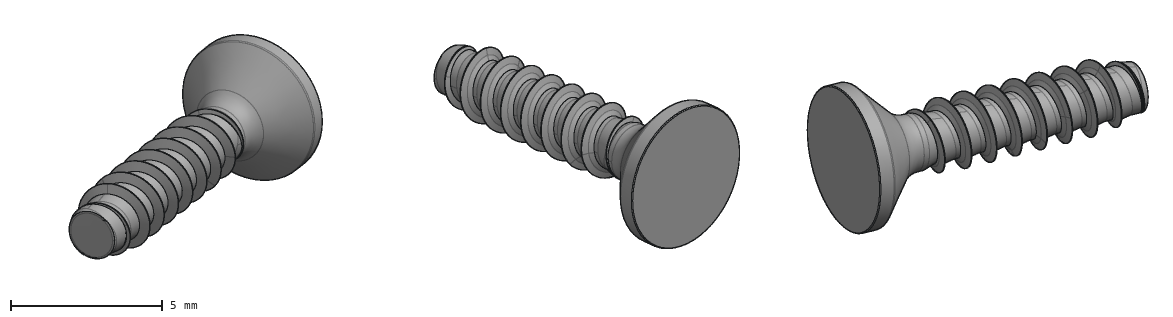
import cadquery as cq
import math

LENGTH = 11.0

HEAD_DIAMETER = 5.0
HEAD_RADIUS = HEAD_DIAMETER / 2
HEAD_EDGE_CHAMFER = 0.03
RIM_END = 0.56
HEAD_CONE_SLOPE = math.radians(45)
RIM_FILLET = 0.08

SHANK_RADIUS = 0.98
NECK_FILLET = 1.0
SHANK_END = 2.7
SHANK_CONE_END = 3.12

CORE_RADIUS = 0.86
TIP_CHAMFER_WIDTH = 0.07
TIP_CHAMFER_LENGTH = 0.02
TIP_CROWN = 0.02
TIP_LIMIT_SLOPE = math.radians(20)

PITCH = 0.95
THREAD_RADIUS = 1.25
FIRST_TOP_CREST = 2.93
CREST_WIDTH = 0.03
HEAD_FLANK_KNEE = (-0.1, 1.02)
HEAD_FLANK_FOOT = (-0.2, CORE_RADIUS)
TIP_FLANK_FOOT = (0.14, 0.9)
THREAD_BASE_RADIUS = 0.75

RUN_IN_START = 2.36
RUN_IN_END = 3.63
RUN_OUT_START = 9.57
RUN_OUT_END = 11.04
RUN_IN_SINK = 0.31
RUN_OUT_SINK = 0.45

RAMP_START = 0.07
RAMP_END = 0.57
RAMP_HIGH_RADIUS = 0.95
RAMP_BASE_RADIUS = 0.79
RAMP_FIRST_CREST = 2.04
RAMP_LAST_CREST = LENGTH + PITCH / 2

POINTS_PER_TURN = 24
JOIN_TOLERANCE = 0.001


def make_body():
    """Head, neck, shank, core and crowned tip as one turned solid."""
    half_slope = HEAD_CONE_SLOPE / 2

    rim_centre_radius = HEAD_RADIUS - RIM_FILLET
    rim_centre_depth = RIM_END - RIM_FILLET * math.tan(half_slope)

    def rim_point(turn):
        radius = rim_centre_radius + RIM_FILLET * math.cos(turn)
        return (radius, -(rim_centre_depth + RIM_FILLET * math.sin(turn)))

    neck_radius = SHANK_RADIUS + NECK_FILLET * (1 - math.cos(HEAD_CONE_SLOPE))
    cone_end = RIM_END + (HEAD_RADIUS - neck_radius) / math.tan(HEAD_CONE_SLOPE)
    neck_end = cone_end + NECK_FILLET * math.sin(HEAD_CONE_SLOPE)

    def neck_point(turn):
        radius = SHANK_RADIUS + NECK_FILLET * (1 - math.cos(turn))
        return (radius, -(neck_end - NECK_FILLET * math.sin(turn)))

    tip_edge = LENGTH - TIP_CROWN
    face_radius = CORE_RADIUS - TIP_CHAMFER_WIDTH
    crown_radius = (face_radius**2 + TIP_CROWN**2) / (2 * TIP_CROWN)
    crown_half = math.asin(face_radius / crown_radius) / 2
    crown_mid = (
        crown_radius * math.sin(crown_half),
        -(LENGTH - crown_radius * (1 - math.cos(crown_half))),
    )
    return (
        cq.Workplane("XY")
        .lineTo(HEAD_RADIUS - HEAD_EDGE_CHAMFER, 0)
        .lineTo(HEAD_RADIUS, -HEAD_EDGE_CHAMFER)
        .lineTo(*rim_point(0))
        .threePointArc(rim_point(half_slope), rim_point(HEAD_CONE_SLOPE))
        .lineTo(*neck_point(HEAD_CONE_SLOPE))
        .threePointArc(neck_point(half_slope), neck_point(0))
        .lineTo(SHANK_RADIUS, -SHANK_END)
        .lineTo(CORE_RADIUS, -SHANK_CONE_END)
        .lineTo(CORE_RADIUS, -(tip_edge - TIP_CHAMFER_LENGTH))
        .lineTo(face_radius, -tip_edge)
        .threePointArc(crown_mid, (0, -LENGTH))
        .close()
        .revolve(360, (0, 0, 0), (0, 1, 0))
        .val()
    )


def helix_point(radius, crest_depth, offset):
    """Point beside the crest; the crest passes +Z at FIRST_TOP_CREST and turns towards -X."""
    angle = 2 * math.pi * (crest_depth - FIRST_TOP_CREST) / PITCH
    return cq.Vector(
        -radius * math.sin(angle), -(crest_depth + offset), radius * math.cos(angle)
    )


def divide_stretch(start, end, parts_per_turn):
    """Evenly spaced (crest depth, sink) stations from start to end, both included."""
    (start_depth, start_sink), (end_depth, end_sink) = start, end
    count = math.ceil((end_depth - start_depth) / PITCH * parts_per_turn)
    depth_step = (end_depth - start_depth) / count
    sink_step = (end_sink - start_sink) / count
    return [(start_depth + i * depth_step, start_sink + i * sink_step) for i in range(count + 1)]


def helix_edge(corner, start, end):
    """Helix of one (offset, radius) profile corner between two stations."""
    offset, radius = corner
    stations = divide_stretch(start, end, POINTS_PER_TURN)
    points = [helix_point(radius - sink, depth, offset) for depth, sink in stations]
    return cq.Edge.makeSpline(points)


def split_into_turns(stations):
    """Add stations so that no two neighbours are more than one turn apart."""
    split = [stations[0]]
    for start, end in zip(stations, stations[1:]):
        split.extend(divide_stretch(start, end, 1)[1:])
    return split


def make_helical_solid(profile, stations):
    """Wind a closed (offset, radius) profile through stations of (crest depth, sink)."""
    turns = split_into_turns(stations)
    faces = []
    for start, end in zip(turns, turns[1:]):
        edges = [helix_edge(corner, start, end) for corner in profile]
        for i, edge in enumerate(edges):
            faces.append(cq.Face.makeRuledSurface(edges[i - 1], edge))
    for depth, sink in (turns[0], turns[-1]):
        outline = [helix_point(radius - sink, depth, offset) for offset, radius in profile]
        faces.append(cq.Face.makeFromWires(cq.Wire.makePolygon(outline, close=True)))
    return cq.Solid.makeSolid(cq.Shell.makeShell(faces)).fix()


def make_thread():
    """Thread ridge that emerges from the shank and sinks away at the tip."""
    profile = [
        (HEAD_FLANK_FOOT[0], THREAD_BASE_RADIUS),
        HEAD_FLANK_FOOT,
        HEAD_FLANK_KNEE,
        (-CREST_WIDTH / 2, THREAD_RADIUS),
        (CREST_WIDTH / 2, THREAD_RADIUS),
        TIP_FLANK_FOOT,
        (TIP_FLANK_FOOT[0], THREAD_BASE_RADIUS),
    ]
    stations = [
        (RUN_IN_START, RUN_IN_SINK),
        (RUN_IN_END, 0),
        (RUN_OUT_START, 0),
        (RUN_OUT_END, RUN_OUT_SINK),
    ]
    return make_helical_solid(profile, stations)


def make_ramp():
    """Ramp falling from behind the thread down to the core."""
    profile = [
        (RAMP_START, RAMP_BASE_RADIUS),
        (RAMP_START, RAMP_HIGH_RADIUS),
        (RAMP_END, CORE_RADIUS),
        (RAMP_END, RAMP_BASE_RADIUS),
    ]
    return make_helical_solid(profile, [(RAMP_FIRST_CREST, 0), (RAMP_LAST_CREST, 0)])


def make_tip_limit():
    """Cone that trims the windings down to the core at the tip."""
    limit_length = LENGTH - TIP_CROWN
    head_end_radius = CORE_RADIUS + limit_length * math.tan(TIP_LIMIT_SLOPE)
    return cq.Solid.makeCone(
        head_end_radius, CORE_RADIUS, limit_length, cq.Vector(0, 0, 0), cq.Vector(0, -1, 0)
    )


screw = make_body()
tip_limit = make_tip_limit()
for winding in (make_ramp(), make_thread()):
    limited_winding = winding.intersect(tip_limit, tol=JOIN_TOLERANCE)
    screw = screw.fuse(limited_winding, tol=JOIN_TOLERANCE)

result = cq.Workplane("XY").newObject(screw.Solids())